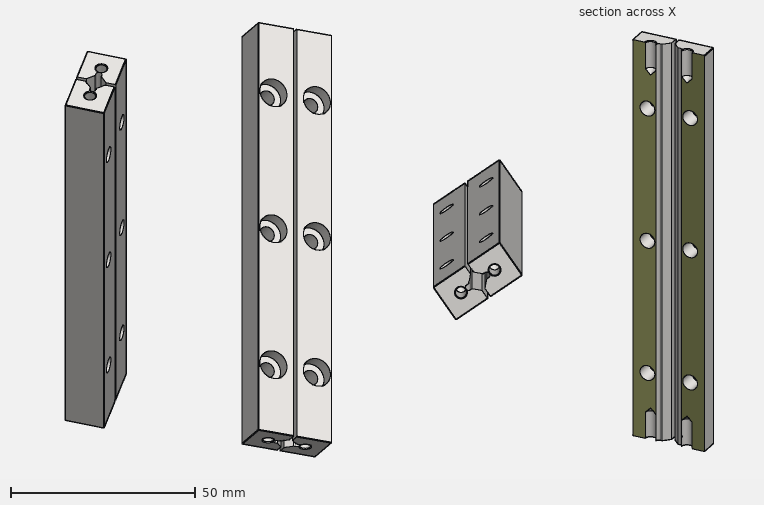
import cadquery as cq
import math

LENGTH = 120.0
RAIL_WIDTH = 11.0
PAIR_DEPTH = 22.0
RAIL_GAP = 1.0
EDGE_CHAMFER = 0.2

VEE_MOUTH = 5.5
RELIEF_WIDTH = 1.7
RELIEF_BOTTOM = 3.8

BOLT_HOLE_DIAMETER = 4.3
COUNTERBORE_DIAMETER = 8.0
COUNTERBORE_DEPTH = 4.2
BOLT_OFFSET = 6.5
BOLT_COUNT = 3
BOLT_PITCH = LENGTH / BOLT_COUNT

END_HOLE_DIAMETER = 3.0
END_HOLE_MOUTH = 3.5
END_HOLE_DEPTH = 8.0
END_HOLE_OFFSET = 5.5
DRILL_POINT_ANGLE = 90.0

INNER_FACE = RAIL_GAP / 2
OUTER_FACE = PAIR_DEPTH / 2


def rail_blank():
    """Extruded rail on the +Y side, with the raceway along its inner face."""
    half_width = RAIL_WIDTH / 2
    half_mouth = VEE_MOUTH / 2
    half_relief = RELIEF_WIDTH / 2
    vee_bottom = INNER_FACE + half_mouth - half_relief
    return (
        cq.Workplane("XY")
        .moveTo(-half_width, OUTER_FACE)
        .lineTo(-half_width, INNER_FACE)
        .lineTo(-half_mouth, INNER_FACE)
        .lineTo(-half_relief, vee_bottom)
        .lineTo(-half_relief, RELIEF_BOTTOM - half_relief)
        .threePointArc((0, RELIEF_BOTTOM), (half_relief, RELIEF_BOTTOM - half_relief))
        .lineTo(half_relief, vee_bottom)
        .lineTo(half_mouth, INNER_FACE)
        .lineTo(half_width, INNER_FACE)
        .lineTo(half_width, OUTER_FACE)
        .close()
        .extrude(LENGTH)
    )


def chamfer_outer_edges(blank):
    """Break the edges around the three plain sides: the back face and both X faces."""
    outer_sides = blank.faces(">Y or <X or >X")
    return outer_sides.edges("not(<Y)").chamfer(EDGE_CHAMFER)


def bolt_hole(height):
    """Through hole along X, counterbored from the -X side."""
    start = cq.Workplane("YZ", origin=(-RAIL_WIDTH / 2, BOLT_OFFSET, height))
    through = start.circle(BOLT_HOLE_DIAMETER / 2).extrude(RAIL_WIDTH)
    counterbore = start.circle(COUNTERBORE_DIAMETER / 2).extrude(COUNTERBORE_DEPTH)
    return through.union(counterbore)


def end_hole():
    """Blind hole with a drill point, going down from the top end face."""
    radius = END_HOLE_DIAMETER / 2
    mouth_radius = END_HOLE_MOUTH / 2
    point_depth = radius / math.tan(math.radians(DRILL_POINT_ANGLE / 2))
    return (
        cq.Workplane("XZ", origin=(0, END_HOLE_OFFSET, LENGTH))
        .lineTo(mouth_radius, 0)
        .lineTo(radius, radius - mouth_radius)
        .lineTo(radius, -END_HOLE_DEPTH)
        .lineTo(0, -END_HOLE_DEPTH - point_depth)
        .close()
        .revolve(360, (0, 0), (0, 1))
    )


def rail():
    """Finished rail on the +Y side, with its bolt holes and both end holes."""
    body = chamfer_outer_edges(rail_blank())
    for index in range(BOLT_COUNT):
        body = body.cut(bolt_hole((index + 0.5) * BOLT_PITCH))
    top_hole = end_hole()
    bottom_hole = top_hole.mirror("XY", (0, 0, LENGTH / 2))
    return body.cut(top_hole).cut(bottom_hole)


back_rail = rail()
front_rail = back_rail.mirror("XZ")

result = cq.Compound.makeCompound([back_rail.val(), front_rail.val()])